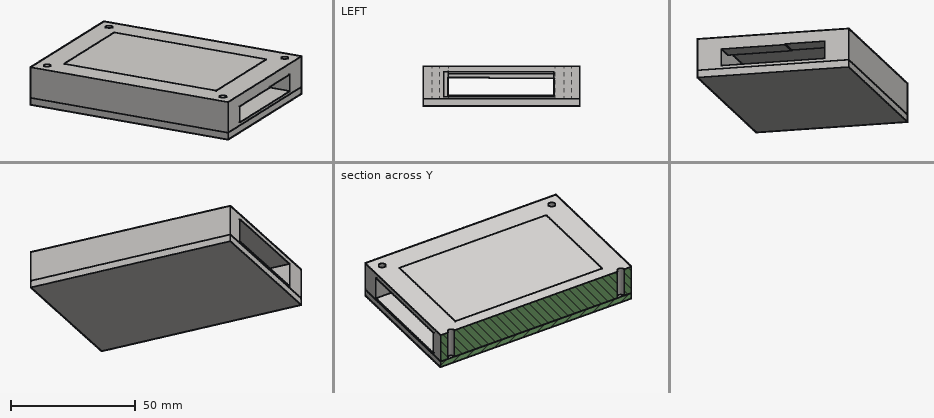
import cadquery as cq

length = 89.78
width = 62.88
total_height = 16.0
wall = 10.0
base_thickness = 3.0
roof_thickness = 3.0

cavity_length = length - 2 * wall
cavity_width = width - 2 * wall
cavity_top = total_height - roof_thickness

screen_length = 69.1
screen_width = cavity_width
screen_start_x = -cavity_length / 2

screw_hole_diameter = 2.9
screw_edge_distance = 5.0

front_opening_width = 44.0
front_opening_center_y = 1.05
front_opening_bottom = 3.75
front_opening_height = 10.0
front_opening_top = front_opening_bottom + front_opening_height

rear_opening_bottom = 4.25
rear_opening_top = 11.1
rear_step_height = 0.3
rear_step_y = 5.0


def box_between(x_range, y_range, z_range):
    """Axis-aligned block given by its lower and upper limit on each axis."""
    lows, highs = zip(x_range, y_range, z_range)
    sizes = [high - low for low, high in zip(lows, highs)]
    return cq.Workplane("XY").box(*sizes, centered=False).translate(lows)


def centered_range(size, center=0.0):
    return (center - size / 2, center + size / 2)


def make_screen():
    return box_between(
        (screen_start_x, screen_start_x + screen_length),
        centered_range(screen_width),
        (cavity_top, total_height),
    )


def make_base_plate():
    return box_between(centered_range(length), centered_range(width), (0, base_thickness))


def cavity_cutter():
    return box_between(
        centered_range(cavity_length),
        centered_range(cavity_width),
        (base_thickness, cavity_top),
    )


def front_opening_cutter():
    return box_between(
        (-length / 2, -cavity_length / 2),
        centered_range(front_opening_width, front_opening_center_y),
        (front_opening_bottom, front_opening_top),
    )


def rear_opening_cutter():
    wall_range = (cavity_length / 2, length / 2)
    main_part = box_between(
        wall_range,
        centered_range(cavity_width),
        (rear_opening_bottom, rear_opening_top),
    )
    taller_part = box_between(
        wall_range,
        (rear_step_y, cavity_width / 2),
        (rear_opening_bottom, rear_opening_top + rear_step_height),
    )
    return main_part.union(taller_part)


def screw_hole_cutters():
    return (
        cq.Workplane("XY", origin=(0, 0, base_thickness))
        .rect(length - 2 * screw_edge_distance, width - 2 * screw_edge_distance, forConstruction=True)
        .vertices()
        .circle(screw_hole_diameter / 2)
        .extrude(total_height - base_thickness)
    )


def make_housing():
    block = box_between(centered_range(length), centered_range(width), (base_thickness, total_height))
    return (
        block.cut(cavity_cutter())
        .cut(front_opening_cutter())
        .cut(rear_opening_cutter())
        .cut(make_screen())
        .cut(screw_hole_cutters())
    )


base_plate = make_base_plate()
housing = make_housing()
screen = make_screen()

result = cq.Compound.makeCompound([base_plate.val(), housing.val(), screen.val()])